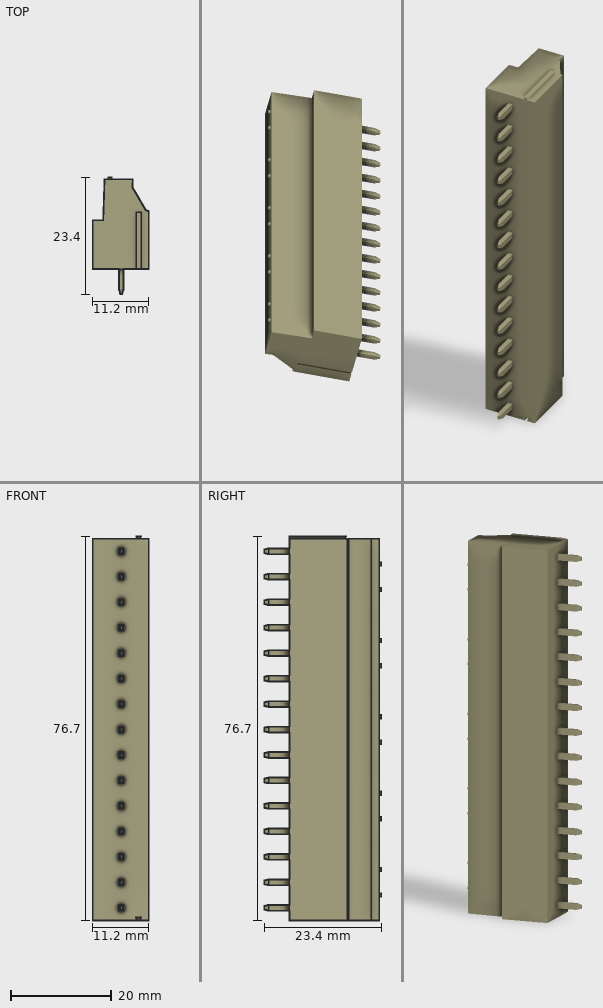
import cadquery as cq

overall_depth = 23.4
overall_height = 76.7

pole_count = 15
pitch = 5.08
poles_per_group = 3

length = pole_count * pitch
width = 11.2
front_x = -5.7
back_x = front_x + width
base_depth = 9.75
shoulder_depth = 11.55
depth = 17.95
step_x = -3.62
top_left_x = -3.35
top_right_x = 2.35
slope_start_x = 2.25
slope_start_depth = 16.35
slope_end_x = 4.9
slope_end_depth = 11.8

pin_length = 5.05
pin_width_x = 0.95
pin_width_z = 1.2
tip_length = 0.93
tip_base_x = 0.8
tip_end_x = 0.4
tip_end_z = 0.75

rib_x = 3.45
rib_height = overall_height - length
rib_neck_width = 0.4
rib_flare = 0.3
rib_neck_depth = 11.0
groove_height = 0.7
groove_clearance = 0.05

peg_height = overall_depth - pin_length - depth
peg_diameter = 0.75
peg_x = -2.25


def pole_z(position):
    """Height of a pole axis; half positions lie between neighbouring poles."""
    return (position + 0.5) * pitch


def housing():
    """Stepped profile with a sloping side, extruded along the row of poles."""
    return (
        cq.Workplane("XY")
        .moveTo(front_x, 0)
        .lineTo(back_x, 0)
        .lineTo(back_x, shoulder_depth)
        .lineTo(slope_end_x, slope_end_depth)
        .lineTo(slope_start_x, slope_start_depth)
        .lineTo(top_right_x, depth)
        .lineTo(top_left_x, depth)
        .lineTo(step_x, base_depth)
        .lineTo(front_x, base_depth)
        .close()
        .extrude(length)
    )


def dovetail(base_z, height, clearance):
    """Dovetail bar rising from base_z; its sides and back end flare out towards the top."""
    neck_half = rib_neck_width / 2 + clearance
    neck_end = rib_neck_depth + clearance
    bar = (
        cq.Workplane("XY", origin=(rib_x, 0, base_z))
        .rect(2 * neck_half, 2 * neck_end)
        .workplane(offset=height)
        .rect(2 * (neck_half + rib_flare), 2 * (neck_end + rib_flare))
        .loft()
    )
    behind_solder_face = cq.Workplane("XY").box(2 * width, depth, 3 * length, centered=(True, False, True))
    return bar.intersect(behind_solder_face)


def pin(z):
    """Rectangular solder pin with a shouldered, tapering tip."""
    shaft_length = pin_length - tip_length
    shaft = cq.Workplane("XZ", origin=(0, 0, z)).rect(pin_width_x, pin_width_z).extrude(shaft_length)
    tip = (
        cq.Workplane("XZ", origin=(0, -shaft_length, z))
        .rect(tip_base_x, pin_width_z)
        .workplane(offset=tip_length)
        .rect(tip_end_x, tip_end_z)
        .loft()
    )
    return shaft.union(tip)


def peg(z):
    """Small round peg on the back face."""
    return cq.Workplane("XZ", origin=(peg_x, depth, z)).circle(peg_diameter / 2).extrude(-peg_height)


rib = dovetail(length, rib_height, 0)
groove = dovetail(0, groove_height, groove_clearance)
result = housing().union(rib).cut(groove)

for pole in range(pole_count):
    result = result.union(pin(pole_z(pole)))
    last_in_group = pole % poles_per_group == poles_per_group - 1
    if not last_in_group:
        result = result.union(peg(pole_z(pole + 0.5)))